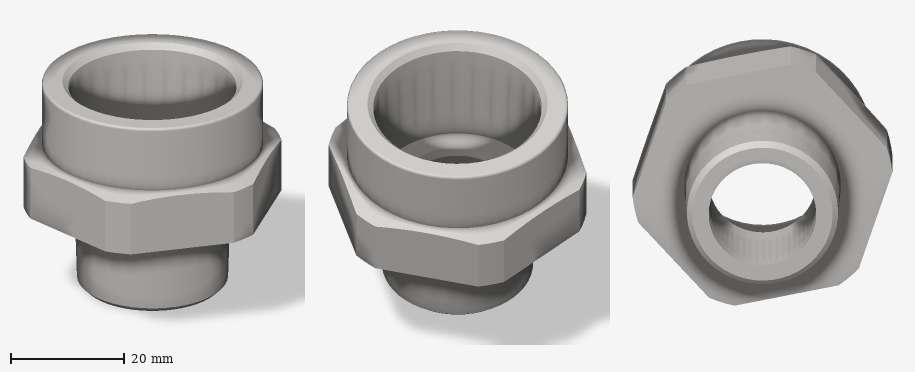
import cadquery as cq

total_height = 39.0
hex_bottom = 16.0
hex_top = 27.0

across_flats = 42.0
corner_diameter = 46.0
hex_chamfer_drop = 1.1

socket_diameter = 39.0
socket_edge_radius = 0.5

thread_taper = 1 / 16
spigot_root_diameter = 27.6
spigot_chamfer = 0.95

bore_mouth_diameter = 31.75
bore_chamfer = 1.0
bore_depth = 20.0
hole_diameter = 18.95
hole_chamfer = 1.0

hex_radius = corner_diameter / 2
socket_radius = socket_diameter / 2
spigot_root_radius = spigot_root_diameter / 2
spigot_end_radius = spigot_root_radius - (hex_bottom - spigot_chamfer) * thread_taper / 2
bore_floor = total_height - bore_depth
bore_top_radius = bore_mouth_diameter / 2 - bore_chamfer
bore_floor_radius = bore_top_radius - (bore_depth - bore_chamfer) * thread_taper / 2
hole_radius = hole_diameter / 2


def revolve_profile(points):
    """Revolve a closed outline of (radius, height) points about the Z axis."""
    return cq.Workplane("XZ").polyline(points).close().revolve(360, (0, 0, 0), (0, 1, 0))


def make_hex_collar():
    """Hexagonal prism with flats facing +X and -X, its top and corners turned."""
    prism = (
        cq.Workplane("XY")
        .workplane(offset=hex_bottom)
        .polygon(6, across_flats, circumscribed=True)
        .extrude(hex_top - hex_bottom)
    )
    turned_envelope = revolve_profile([
        (0, hex_bottom),
        (hex_radius, hex_bottom),
        (hex_radius, hex_top - hex_chamfer_drop),
        (socket_radius, hex_top),
        (0, hex_top),
    ])
    return prism.intersect(turned_envelope)


def make_socket():
    """Cylinder running up from the hexagon, with a rounded top edge."""
    return (
        cq.Workplane("XY")
        .workplane(offset=hex_bottom)
        .circle(socket_radius)
        .extrude(total_height - hex_bottom)
        .faces(">Z")
        .edges()
        .fillet(socket_edge_radius)
    )


def make_spigot():
    """Tapered spigot with a chamfered lower end."""
    return revolve_profile([
        (0, 0),
        (spigot_end_radius - spigot_chamfer, 0),
        (spigot_end_radius, spigot_chamfer),
        (spigot_root_radius, hex_bottom),
        (0, hex_bottom),
    ])


def make_bore():
    """Complete inner passage: through hole, chamfered step and tapered bore."""
    return revolve_profile([
        (0, 0),
        (hole_radius, 0),
        (hole_radius, bore_floor - hole_chamfer),
        (hole_radius + hole_chamfer, bore_floor),
        (bore_floor_radius, bore_floor),
        (bore_top_radius, total_height - bore_chamfer),
        (bore_mouth_diameter / 2, total_height),
        (0, total_height),
    ])


body = make_hex_collar().union(make_socket()).union(make_spigot())
result = body.cut(make_bore())